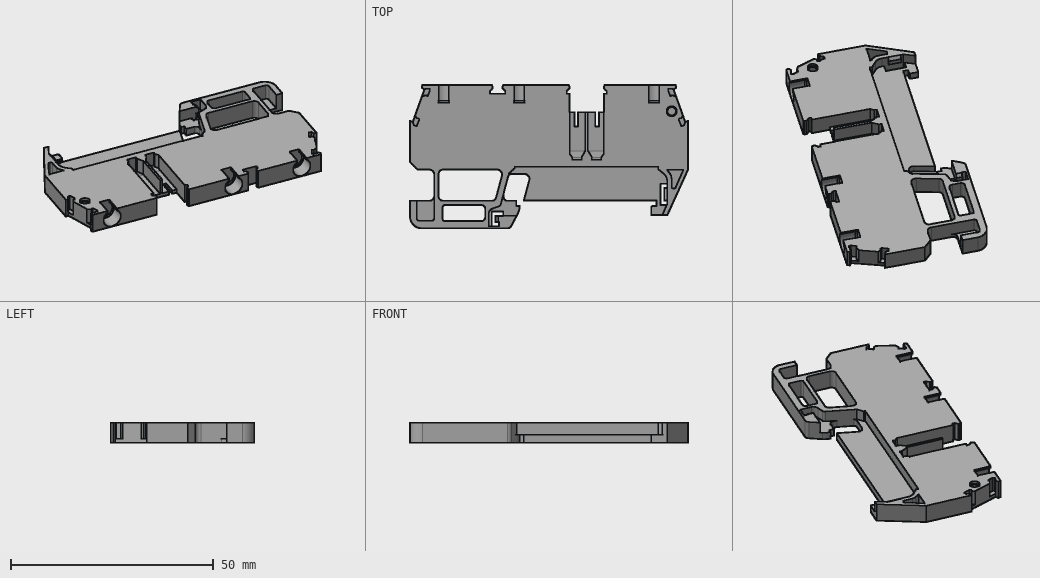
import cadquery as cq
import math

LENGTH = 68.6
HEIGHT = 35.4
THICKNESS = 5.0

SKIN = 1.0
RAIL_FLOOR = 2.0

RAIL_FACE_Y = 6.84
BODY_BOTTOM_Y = 14.5
SHOULDER_Y = 26.55
LATCH_Y = 5.6
RIGHT_FOOT_Y = 3.3

HOOK_WALL_X = 6.0
HOOK_FILLET = 1.25
FOOT_RIM_Y = 1.86
LEDGE_Y = 3.1
LEFT_SNAP_X = 21.8
LEFT_SNAP_Y = 1.6
LEFT_CLEARANCE_Y = 0.6

RIGHT_SNAP_X = 63.45
RIGHT_SNAP_END_Y = 10.0
STRUT_BEND_Y = 6.1
STRUT_END_X = 62.25

OVERRUN = 1.0

WEB_TAN = math.tan(math.radians(15))
WEB_X = 20.81

FOOT_CORNER_X = 24.7
FOOT_TAN = 0.53

NOTCH_DEPTH = 2.15
NOTCH_CHAMFER = 0.2
NOTCH_LIP = 0.85
NOTCH_FLARE = 0.66
MARKER_NOTCH_X = 21.62
MARKER_NOTCH_HALF = 1.2
BRIDGE_X = 43.6
BRIDGE_HALF = 4.22
BRIDGE_SHELF_Y = 28.7

FUNNEL_XS = (8.35, 26.95, 60.2)
FUNNEL_RADIUS = 2.35
FUNNEL_WINDOW_WIDTH = 2.54
FUNNEL_DEPTH = 4.4
FUNNEL_CHAMFER_LENGTH = 0.45
FUNNEL_CHAMFER_DEPTH = 0.22

RIB_HALF = 0.31
POCKET_END_Y = 19.2
RAMP_END_Y = 17.6
RAMP_RISE = 0.2
TIP_END_Y = 16.9
TIP_INSET = 0.6
TIP_WIDTH = 2.35
POCKET_SIDE_DROP = 0.8
SLIT_OFFSET = 2.58
SLIT_WIDTH = 0.85
SLIT_END_Y = 25.15

PIN_HOLE_CENTRE = (64.55, 28.9)
PIN_MOUTH_RADIUS = 1.25
PIN_HOLE_RADIUS = 1.05
PIN_MOUTH_DEPTH = 0.75
PIN_SHOULDER_HEIGHT = 0.2

WEDGE_REACH = 0.75
WEDGE_DROP = 0.75
WEDGE_HEIGHT = 1.2


def corner_arc(before, corner, after):
    """Start, middle and end of the arc that rounds a corner; a sharp corner gives one point."""
    point = cq.Vector(corner[0], corner[1])
    if len(corner) == 2:
        return [point]
    radius = corner[2]
    to_before = (cq.Vector(before[0], before[1]) - point).normalized()
    to_after = (cq.Vector(after[0], after[1]) - point).normalized()
    half_angle = to_before.getAngle(to_after) / 2
    setback = radius / math.tan(half_angle)
    bisector = (to_before + to_after).normalized()
    middle = point + bisector * (radius / math.sin(half_angle) - radius)
    return [point + to_before * setback, middle, point + to_after * setback]


def prism(corners, bottom, top):
    """Extrude a closed outline of (x, y) or (x, y, corner radius) points from bottom to top."""
    following = corners[1:] + corners[:1]
    preceding = corners[-1:] + corners[:-1]
    arcs = [corner_arc(*trio) for trio in zip(preceding, corners, following)]
    edges = []
    for arc, next_arc in zip(arcs, arcs[1:] + arcs[:1]):
        if len(arc) == 3:
            edges.append(cq.Edge.makeThreePointArc(*arc))
        edges.append(cq.Edge.makeLine(arc[-1], next_arc[0]))
    outline = cq.Wire.assembleEdges(edges)
    solid = cq.Solid.extrudeLinear(outline, [], cq.Vector(0, 0, top - bottom))
    return cq.Workplane(solid.translate(cq.Vector(0, 0, bottom)))


def rectangle(x_start, x_end, y_start, y_end):
    """Corners of an upright rectangle."""
    return [(x_start, y_start), (x_start, y_end), (x_end, y_end), (x_end, y_start)]


def mirrored(corners):
    """Mirror an outline about the middle of the length."""
    return [(LENGTH - corner[0], *corner[1:]) for corner in corners]


def web_x(y):
    """X of the right face of the slanted web at height y."""
    return WEB_X + WEB_TAN * y


LEFT_FLANK = [
    (0, SHOULDER_Y),
    (0.7, SHOULDER_Y - 0.25),
    (3.55, 34.25),
    (2.9, 34.75),
    (3.1, HEIGHT),
]


def make_body():
    """Full-thickness outline of the housing with both feet."""
    body_chamfer = 1.9
    left_side = [
        (0, 0, 3.0),
        (0, RAIL_FACE_Y),
        (HOOK_WALL_X, RAIL_FACE_Y),
        (HOOK_WALL_X, BODY_BOTTOM_Y, HOOK_FILLET),
        (body_chamfer, BODY_BOTTOM_Y),
        (0, BODY_BOTTOM_Y + body_chamfer),
    ]
    right_side = [
        (LENGTH, BODY_BOTTOM_Y),
        (63.5, RIGHT_FOOT_Y),
        (59.5, RIGHT_FOOT_Y),
        (59.5, LATCH_Y - 0.2),
        (60.0, LATCH_Y),
        (60.75, LATCH_Y),
        (60.75, RAIL_FACE_Y),
    ]
    gap_top = 13.42
    web_foot_y = 8.8
    gap_right_x = 28.05
    rail_gap = [
        (gap_right_x, RAIL_FACE_Y),
        (gap_right_x + WEB_TAN * (gap_top - RAIL_FACE_Y), gap_top, 1.2),
        (web_x(gap_top), gap_top, 0.8),
        (web_x(web_foot_y), web_foot_y),
        (web_x(web_foot_y), RAIL_FACE_Y, 0.9),
    ]
    latch_tip_x = 27.1
    left_foot_end = [
        (26.25, RAIL_FACE_Y),
        (26.25, LATCH_Y),
        (latch_tip_x, LATCH_Y),
        (latch_tip_x, (latch_tip_x - FOOT_CORNER_X) / FOOT_TAN, 4.2),
        (FOOT_CORNER_X, 0, 1.25),
    ]
    right_flank = mirrored(LEFT_FLANK)[::-1]
    outline = left_side + LEFT_FLANK + right_flank + right_side + rail_gap + left_foot_end
    return prism(outline, 0, THICKNESS)


def cut_notch(body, centre, half_width):
    """Cut an undercut notch of the given mouth half-width through the upper edge."""
    lip_y = HEIGHT - NOTCH_LIP
    floor_y = HEIGHT - NOTCH_DEPTH
    right_half = [
        (half_width + NOTCH_CHAMFER, HEIGHT),
        (half_width, HEIGHT - 2 * NOTCH_CHAMFER),
        (half_width, lip_y),
        (half_width + NOTCH_FLARE, lip_y - NOTCH_FLARE),
        (half_width + NOTCH_FLARE, floor_y),
    ]
    right = [(centre + x, y) for x, y in right_half]
    left = [(centre - x, y) for x, y in right_half[::-1]]
    return body.cut(prism(right + left, 0, THICKNESS))


def cut_windows(body):
    """Cut the two through windows of the left foot."""
    web_thickness = 1.63
    main_window = [
        (7.1, RAIL_FACE_Y, 1.1),
        (7.1, BODY_BOTTOM_Y, 1.1),
        (web_x(BODY_BOTTOM_Y) - web_thickness, BODY_BOTTOM_Y, 1.2),
        (web_x(RAIL_FACE_Y) - web_thickness, RAIL_FACE_Y, 1.0),
    ]
    foot_window = [(8.1, FOOT_RIM_Y, 0.5), (8.1, 5.75, 0.5), (18.55, 5.75, 0.9), (18.55, FOOT_RIM_Y, 0.9)]
    for window in (main_window, foot_window):
        body = body.cut(prism(window, 0, THICKNESS))
    return body


def cut_side_pockets(body):
    """Cut the blind pockets that leave only the skin: left hook, flank recesses, right triangle."""
    left_hook = [
        (1.65, RAIL_FACE_Y + OVERRUN),
        (1.65, FOOT_RIM_Y, 0.7),
        (HOOK_WALL_X, FOOT_RIM_Y, 0.7),
        (HOOK_WALL_X, RAIL_FACE_Y + OVERRUN),
    ]
    upper_recess = [
        (2.85, 32.4),
        (3.9, 32.9),
        (4.35, 32.6),
        (4.95, 34.0),
        (4.85, 34.5),
        (4.1, 34.5),
        (3.55, 34.25),
        (2.9, 34.25),
    ]
    lower_recess = [
        (0.35, SHOULDER_Y),
        (0.7, SHOULDER_Y - 0.25),
        (1.0, 25.45),
        (1.65, 25.2),
        (2.3, 26.8),
        (2.1, 27.2),
        (1.65, 27.2),
        (1.25, 27.95),
    ]
    triangle = [
        (63.4, BODY_BOTTOM_Y),
        (64.5, 13.0, 2.0),
        (64.55, 9.85, 0.4),
        (65.4, 9.85, 0.5),
        (67.45, BODY_BOTTOM_Y),
    ]
    pockets = [left_hook, triangle]
    for recess in (upper_recess, lower_recess):
        pockets += [recess, mirrored(recess)]
    for pocket in pockets:
        body = body.cut(prism(pocket, SKIN, THICKNESS))
    return body


def add_hook_floor_fillet(body):
    """Round the inner corner between the hook's floor and the web beside it."""
    centre_x = HOOK_WALL_X - HOOK_FILLET
    centre_y = RAIL_FACE_Y + HOOK_FILLET
    block = rectangle(centre_x, HOOK_WALL_X, RAIL_FACE_Y, centre_y)
    hollow = cq.Workplane("XY").center(centre_x, centre_y).circle(HOOK_FILLET).extrude(SKIN)
    return body.union(prism(block, 0, SKIN).cut(hollow))


def cut_rail_recess(body):
    """Lower the rail area and the inner parts of both feet to the rail floor."""
    rail_top = 15.27
    rail_left = 25.83
    rail_right = 61.2
    open_x = 40.0
    recess = [
        (rail_left, rail_top),
        (rail_right, rail_top),
        (rail_right, 14.65),
        (RIGHT_SNAP_X, 12.8, 2.5),
        (RIGHT_SNAP_X, STRUT_BEND_Y),
        (STRUT_END_X, RIGHT_FOOT_Y),
        (STRUT_END_X, RIGHT_FOOT_Y - OVERRUN),
        (open_x, RIGHT_FOOT_Y - OVERRUN),
        (open_x, LEDGE_Y),
        (LEFT_SNAP_X, LEDGE_Y),
        (LEFT_SNAP_X, LEFT_CLEARANCE_Y),
        (19.4, LEFT_CLEARANCE_Y),
        (19.4, 4.55, 1.5),
        (web_x(LATCH_Y), LATCH_Y, 0.8),
        (web_x(13.6), 13.6),
        (rail_left, 14.85),
    ]
    return body.cut(prism(recess, RAIL_FLOOR, THICKNESS))


def cut_snap_openings(body):
    """Cut the through openings beneath the snap wedges."""
    jog = 0.15
    left_opening = [
        (20.2, LEFT_CLEARANCE_Y),
        (20.2, 4.15),
        (23.0, 4.15),
        (23.0, LEDGE_Y),
        (LEFT_SNAP_X, LEDGE_Y),
        (LEFT_SNAP_X, LEFT_SNAP_Y),
        (LEFT_SNAP_X + jog, LEFT_SNAP_Y),
        (LEFT_SNAP_X + jog, LEFT_CLEARANCE_Y),
    ]
    right_opening = [
        (61.8, 5.8),
        (61.8, 11.0),
        (RIGHT_SNAP_X, 11.0),
        (RIGHT_SNAP_X, STRUT_BEND_Y),
        (RIGHT_SNAP_X - jog, 5.8),
    ]
    for opening in (left_opening, right_opening):
        body = body.cut(prism(opening, 0, THICKNESS))
    return body


def add_snap_wedge(body, wall_x, y_start, y_end):
    """Add a sloped snap wedge that reaches from a wall towards -X."""
    tip_z = THICKNESS - WEDGE_DROP
    wedge = (
        cq.Workplane("XZ", origin=(0, y_end, 0))
        .moveTo(wall_x, THICKNESS)
        .lineTo(wall_x - WEDGE_REACH, tip_z)
        .lineTo(wall_x - WEDGE_REACH, tip_z - WEDGE_HEIGHT)
        .lineTo(wall_x, tip_z - WEDGE_HEIGHT)
        .close()
        .extrude(y_end - y_start)
    )
    return body.union(wedge)


def cut_funnel(body, centre):
    """Bore one screw funnel from the upper edge, with a chamfered end and a window above it."""
    axis_z = THICKNESS / 2
    bore = (
        cq.Workplane("XZ", origin=(centre, HEIGHT, 0))
        .center(0, axis_z)
        .circle(FUNNEL_RADIUS)
        .extrude(FUNNEL_DEPTH)
        .faces("<Y")
        .chamfer(FUNNEL_CHAMFER_LENGTH, FUNNEL_CHAMFER_DEPTH)
    )
    window = (
        cq.Workplane("XY", origin=(centre, HEIGHT, axis_z))
        .rect(FUNNEL_WINDOW_WIDTH, 2 * FUNNEL_DEPTH)
        .extrude(THICKNESS - axis_z)
    )
    return body.cut(bore).cut(window)


def cut_contact_pocket(body, side):
    """Cut one bridge contact pocket; side is -1 left of the rib and +1 right of it."""
    inner = BRIDGE_X + side * RIB_HALF
    outer = BRIDGE_X + side * BRIDGE_HALF
    tip_outer = outer - side * TIP_INSET
    tip_inner = tip_outer - side * TIP_WIDTH
    outline = [
        (inner, BRIDGE_SHELF_Y),
        (inner, POCKET_END_Y),
        (tip_inner, RAMP_END_Y),
        (tip_outer, RAMP_END_Y),
        (outer, POCKET_END_Y - POCKET_SIDE_DROP),
        (outer, BRIDGE_SHELF_Y),
    ]
    ramp = (
        cq.Workplane("YZ", origin=(BRIDGE_X, 0, 0))
        .polyline([(POCKET_END_Y, SKIN), (RAMP_END_Y, SKIN), (RAMP_END_Y, SKIN + RAMP_RISE)])
        .close()
        .extrude(side * BRIDGE_HALF)
    )
    tip = rectangle(tip_inner, tip_outer, TIP_END_Y, RAMP_END_Y)
    slit_x = BRIDGE_X + side * SLIT_OFFSET
    slit = rectangle(slit_x - SLIT_WIDTH / 2, slit_x + SLIT_WIDTH / 2, SLIT_END_Y, BRIDGE_SHELF_Y)
    body = body.cut(prism(outline, SKIN, THICKNESS).cut(ramp))
    body = body.cut(prism(tip, SKIN + RAMP_RISE, THICKNESS))
    return body.cut(prism(slit, 0, THICKNESS))


def cut_bridge_slot(body):
    """Cut the bridge slot: undercut mouth, plain shaft and the two contact pockets."""
    body = cut_notch(body, BRIDGE_X, BRIDGE_HALF)
    shaft_top = HEIGHT - NOTCH_DEPTH
    shaft = rectangle(BRIDGE_X - BRIDGE_HALF, BRIDGE_X + BRIDGE_HALF, BRIDGE_SHELF_Y, shaft_top)
    body = body.cut(prism(shaft, 0, THICKNESS))
    for side in (-1, 1):
        body = cut_contact_pocket(body, side)
    return body


def cut_pin_hole(body):
    """Cut the blind locating hole with its wider mouth."""
    mouth_z = THICKNESS - PIN_MOUTH_DEPTH
    profile = [
        (0, SKIN),
        (PIN_HOLE_RADIUS, SKIN),
        (PIN_HOLE_RADIUS, mouth_z - PIN_SHOULDER_HEIGHT),
        (PIN_MOUTH_RADIUS, mouth_z),
        (PIN_MOUTH_RADIUS, THICKNESS),
        (0, THICKNESS),
    ]
    hole = cq.Workplane("XZ").polyline(profile).close().revolve(360, (0, 0), (0, 1))
    return body.cut(hole.translate((*PIN_HOLE_CENTRE, 0)))


part = make_body()
part = cut_windows(part)
part = cut_side_pockets(part)
part = add_hook_floor_fillet(part)
part = cut_rail_recess(part)
part = cut_snap_openings(part)
part = add_snap_wedge(part, LEFT_SNAP_X, LEFT_SNAP_Y, LEDGE_Y)
part = add_snap_wedge(part, RIGHT_SNAP_X, RAIL_FACE_Y, RIGHT_SNAP_END_Y)
part = cut_notch(part, MARKER_NOTCH_X, MARKER_NOTCH_HALF)
part = cut_bridge_slot(part)
for funnel_x in FUNNEL_XS:
    part = cut_funnel(part, funnel_x)
result = cut_pin_hole(part)